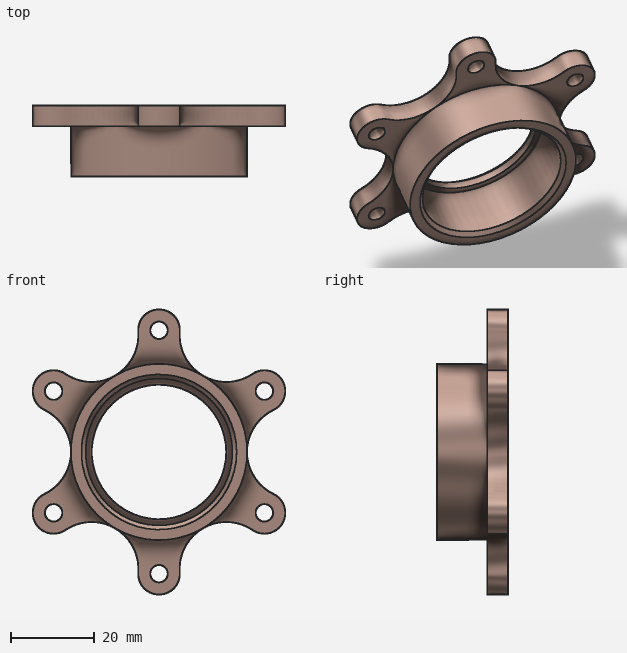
import cadquery as cq
import math

ear_count = 6
flange_thickness = 5.0
collar_length = 12.0
total_length = flange_thickness + collar_length

bolt_circle_radius = 29.0
ear_radius = 5.0
bolt_hole_diameter = 4.1

collar_radius = 21.0
seat_radius = 17.5
lip_thickness = 2.0
bore_chamfer = 1.0
seat_depth = total_length - bore_chamfer - lip_thickness
bore_radius = 16.0

ear_pitch = 360.0 / ear_count
half_pitch = ear_pitch / 2

tangent_gap = collar_radius - ear_radius
scallop_center_radius = (bolt_circle_radius**2 - tangent_gap**2) / (
    2 * (bolt_circle_radius * math.cos(math.radians(half_pitch)) - tangent_gap)
)
scallop_radius = scallop_center_radius - collar_radius


def polar(radius, angle):
    """Point in the flange plane at a radius and an angle in degrees."""
    return (radius * math.cos(math.radians(angle)), radius * math.sin(math.radians(angle)))


def ear_blend_point(ear_angle, scallop_angle):
    """Point where an ear's round tip meets the neighbouring scallop."""
    ear_x, ear_y = polar(bolt_circle_radius, ear_angle)
    scallop_x, scallop_y = polar(scallop_center_radius, scallop_angle)
    share = ear_radius / (ear_radius + scallop_radius)
    return (ear_x + share * (scallop_x - ear_x), ear_y + share * (scallop_y - ear_y))


def cylinder(radius, start, length):
    """Cylinder along Y, measured from the collar's free end at start = 0."""
    return cq.Workplane("XZ", origin=(0, start, 0)).circle(radius).extrude(-length)


def make_flange():
    """Plate with an ear at every pitch and scallops in between."""
    ear_angles = [half_pitch + i * ear_pitch for i in range(ear_count)]
    start_point = ear_blend_point(ear_angles[0], ear_angles[0] - half_pitch)
    outline = cq.Workplane("XZ", origin=(0, collar_length, 0)).moveTo(*start_point)
    for angle in ear_angles:
        scallop_angle = angle + half_pitch
        outline = outline.threePointArc(
            polar(bolt_circle_radius + ear_radius, angle),
            ear_blend_point(angle, scallop_angle),
        ).threePointArc(
            polar(collar_radius, scallop_angle),
            ear_blend_point(angle + ear_pitch, scallop_angle),
        )
    return outline.close().extrude(-flange_thickness)


def cut_bolt_holes(body):
    """One through hole at the centre of each ear."""
    holes = (
        cq.Workplane("XZ")
        .polarArray(bolt_circle_radius, half_pitch, 360, ear_count)
        .circle(bolt_hole_diameter / 2)
        .extrude(-total_length)
    )
    return body.cut(holes)


def cone(start, start_radius, length, end_radius):
    """Truncated cone along Y, from start_radius to end_radius."""
    return (
        cq.Workplane("XZ", origin=(0, start, 0))
        .circle(start_radius)
        .workplane(offset=-length)
        .circle(end_radius)
        .loft(ruled=True)
    )


def cut_stepped_bore(body):
    """Through bore, a wider seat from the collar end, and a chamfer at both mouths."""
    body = body.cut(cylinder(bore_radius, 0, total_length))
    body = body.cut(cylinder(seat_radius, 0, seat_depth))
    seat_mouth = cone(0, seat_radius + bore_chamfer, bore_chamfer, seat_radius)
    bore_mouth = cone(
        total_length - bore_chamfer, bore_radius, bore_chamfer, bore_radius + bore_chamfer
    )
    return body.cut(seat_mouth).cut(bore_mouth)


body = make_flange().union(cylinder(collar_radius, 0, total_length))
body = cut_bolt_holes(body)
result = cut_stepped_bore(body)